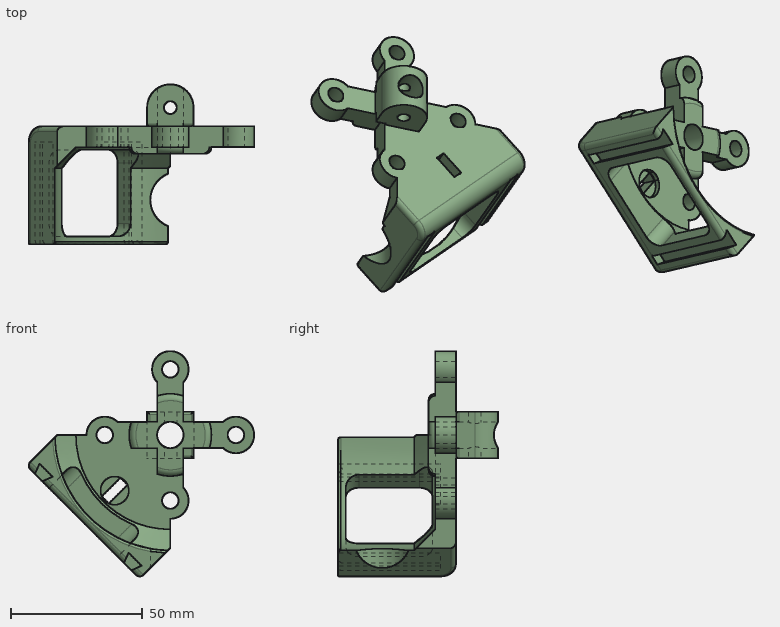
import cadquery as cq
import math


plate_thickness = 8.0
arm_width = 10.0
ear_radius = 7.0
ear_distance = 25.0
ear_hole_diameter = 6.2
main_bore_diameter = 10.0

hub_radius = 15.7
hub_height = 2.5

knuckle_width = 17.8
knuckle_reach = 16.0
knuckle_axis_y = knuckle_reach - knuckle_width / 2
knuckle_hole_diameter = 4.8
knuckle_edge_radius = 1.0

diagonal_angle = 45.0
wall_reach = 47.0
wall_half_width = 30.5
wall_depth = 45.0
heel_radius = 6.0
wall_edge_radius = 2.0
inner_radius = 44.0
cone_height = 8.0
inner_lip_radius = 1.0

window_width = 37.0
window_back_y = -9.0
window_front_y = -42.0
window_corner_radius = 5.0

groove_offset = 24.0
groove_mouth = 4.0
groove_base = 7.0
groove_depth = 4.0

recess_distance = 30.0
recess_diameter = 10.77
recess_depth = 2.0
slot_width = 3.8
slot_length = 10.1

scallop_radius = 10.77
scallop_x = 3.2
scallop_y = -28.1

overlap = 1.0


def rod_along_y(radius, y_start, y_end, x=0.0, z=0.0):
    """Cylinder along Y between two Y positions."""
    direction = cq.Vector(0, math.copysign(1, y_end - y_start), 0)
    start = cq.Vector(x, y_start, z)
    return cq.Workplane(cq.Solid.makeCylinder(radius, abs(y_end - y_start), start, direction))


def block(x_range, y_range, z_range):
    """Box between pairs of coordinates."""
    corner = cq.Vector(x_range[0], y_range[0], z_range[0])
    sizes = [high - low for low, high in (x_range, y_range, z_range)]
    return cq.Workplane(cq.Solid.makeBox(*sizes, corner))


def turn_to_diagonal(shape):
    """Swing a shape pointing to -Z onto the diagonal between -X and -Z."""
    return shape.rotate((0, 0, 0), (0, 1, 0), diagonal_angle)


def ear_centres():
    """X and Z of the four ears."""
    return [(ear_distance, 0), (-ear_distance, 0), (0, ear_distance), (0, -ear_distance)]


def make_cross(y_front, y_back, half_length):
    """Two crossing bars of arm width."""
    half_arm = arm_width / 2
    depth = (y_front, y_back)
    long_side = (-half_length, half_length)
    short_side = (-half_arm, half_arm)
    return block(long_side, depth, short_side).union(block(short_side, depth, long_side))


def make_cross_plate():
    """Cross-shaped plate with a round ear at each end."""
    plate = make_cross(-plate_thickness, 0, ear_distance)
    for x, z in ear_centres():
        plate = plate.union(rod_along_y(ear_radius, -plate_thickness, 0, x, z))
    return plate


def make_hub():
    """Raised cross cut from a disc with a rounded front rim."""
    y_front = -plate_thickness - hub_height
    disc = rod_along_y(hub_radius, -plate_thickness + overlap, y_front)
    disc = disc.faces("<Y").edges().fillet(hub_height)
    return disc.intersect(make_cross(y_front, 0, hub_radius))


def make_knuckle():
    """Round-backed lug whose front edges are rounded at the three corners left free by the plate."""
    radius = knuckle_width / 2
    lug = (
        cq.Workplane("XY")
        .workplane(offset=-radius)
        .moveTo(-radius, 0)
        .lineTo(radius, 0)
        .lineTo(radius, knuckle_axis_y)
        .threePointArc((0, knuckle_axis_y + radius), (-radius, knuckle_axis_y))
        .close()
        .extrude(knuckle_width)
    )
    rounded_lug = lug.faces("<Y").edges().fillet(knuckle_edge_radius)
    foot = (0, knuckle_edge_radius)
    square_foot = make_cross(*foot, radius).union(block((-radius, 0), foot, (-radius, 0)))
    return rounded_lug.union(square_foot)


def make_wall_blank():
    """Plate web and wall as one block with a rounded heel and rounded edges."""
    profile = (
        cq.Workplane("YZ")
        .workplane(offset=-wall_half_width)
        .moveTo(-wall_depth, wall_reach)
        .lineTo(-wall_depth, -wall_reach)
        .lineTo(-heel_radius, -wall_reach)
        .radiusArc((0, heel_radius - wall_reach), -heel_radius)
        .lineTo(0, wall_reach)
        .close()
        .extrude(2 * wall_half_width)
    )
    outer_rim = cq.selectors.BoxSelector(
        (-wall_half_width - overlap, -wall_depth + overlap, -wall_reach - overlap),
        (wall_half_width + overlap, overlap, wall_reach - overlap),
    )
    blank = profile.faces("<X or >X").edges(outer_rim).fillet(wall_edge_radius)
    front_rounding = (
        block((-wall_reach, wall_reach), (-wall_depth, 0), (-wall_reach, wall_reach))
        .edges("<Y and <Z")
        .fillet(wall_edge_radius)
    )
    return blank.intersect(front_rounding)


def make_inner_clearance():
    """Round space in front of the web: a cone, a cylinder and a flared lip."""
    lip_radius = inner_radius + inner_lip_radius
    lip_start = inner_lip_radius - wall_depth
    half_lip = inner_lip_radius * math.sqrt(0.5)
    return (
        cq.Workplane("XY")
        .moveTo(0, -plate_thickness)
        .lineTo(inner_radius - cone_height, -plate_thickness)
        .lineTo(inner_radius, -plate_thickness - cone_height)
        .lineTo(inner_radius, lip_start)
        .threePointArc((lip_radius - half_lip, lip_start - half_lip), (lip_radius, -wall_depth))
        .lineTo(0, -wall_depth)
        .close()
        .revolve(360, (0, 0, 0), (0, 1, 0))
    )


def make_window():
    """Rounded opening through the wall."""
    half_width = window_width / 2
    opening = block(
        (-half_width, half_width),
        (window_front_y, window_back_y),
        (-wall_reach - overlap, 0),
    )
    return opening.edges("|Z").fillet(window_corner_radius)


def make_groove(offset):
    """Dovetail groove that stops where the rounded heel begins."""
    floor_z = groove_depth - wall_reach
    return (
        cq.Workplane("XZ", origin=(offset, -heel_radius, 0))
        .moveTo(-groove_base / 2, floor_z)
        .lineTo(groove_base / 2, floor_z)
        .lineTo(groove_mouth / 2, -wall_reach)
        .lineTo(-groove_mouth / 2, -wall_reach)
        .close()
        .extrude(wall_depth)
    )


def make_slotted_recess():
    """Round recess in the front of the web with a slot through its floor."""
    recess = rod_along_y(
        recess_diameter / 2, -plate_thickness - overlap, recess_depth - plate_thickness, 0, -recess_distance
    )
    slot = block(
        (-slot_width / 2, slot_width / 2),
        (-plate_thickness, overlap),
        (-recess_distance - slot_length / 2, -recess_distance + slot_length / 2),
    )
    return recess.union(slot)


def make_wall():
    """Web and wall in place, trimmed to the quadrant below and left of the bore."""
    wall = make_wall_blank()
    wall = wall.cut(make_inner_clearance()).cut(make_window()).cut(make_slotted_recess())
    for offset in (-groove_offset, groove_offset):
        wall = wall.cut(make_groove(offset))
    extent = 2 * wall_reach
    quadrant = block((-extent, 0), (-wall_depth, 0), (-extent, 0))
    scallop = (
        cq.Workplane("XY")
        .workplane(offset=-extent)
        .center(scallop_x, scallop_y)
        .circle(scallop_radius)
        .extrude(extent)
    )
    return turn_to_diagonal(wall).intersect(quadrant).cut(scallop)


def drill_holes(body):
    """Main bore, ear holes and the knuckle cross hole."""
    y_front = -plate_thickness - hub_height - overlap
    y_back = knuckle_reach + overlap
    body = body.cut(rod_along_y(main_bore_diameter / 2, y_front, y_back))
    for x, z in ear_centres():
        body = body.cut(rod_along_y(ear_hole_diameter / 2, y_front, overlap, x, z))
    cross_hole = (
        cq.Workplane("XY")
        .workplane(offset=-knuckle_width)
        .center(0, knuckle_axis_y)
        .circle(knuckle_hole_diameter / 2)
        .extrude(2 * knuckle_width)
    )
    return body.cut(cross_hole)


body = make_wall().union(make_cross_plate()).union(make_hub()).union(make_knuckle())
result = drill_holes(body)